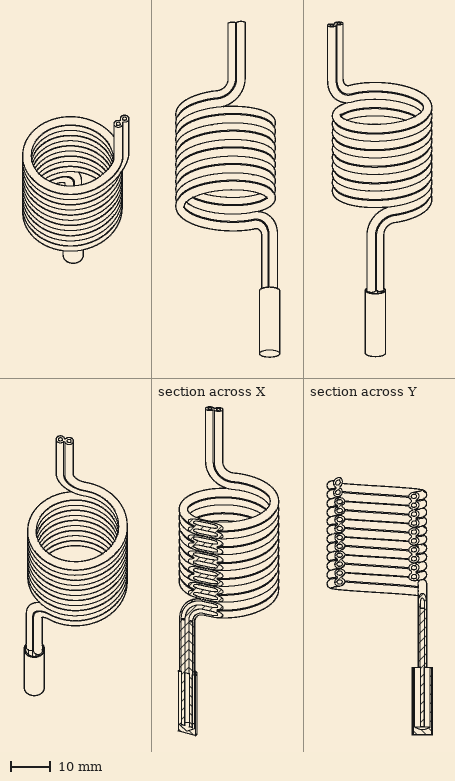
import cadquery as cq
import math

strand_dia = 2.2
strand_spacing = 2.25
web_thickness = 1.0
bore_dia = 1.0
cable_width = strand_spacing + strand_dia

coil_radius = 11.5
coil_pitch = 2 * strand_spacing
coil_turns = 5 + 5 / 9
coil_height = coil_pitch * coil_turns
coil_start_angle = 180
coil_end_angle = coil_start_angle + 360 * coil_turns

bend_radius = 5.0
leg_length = 15.0
lower_run = 0.5
upper_run = 1.0

sleeve_wall = 0.35
sleeve_length = 17.02
hole_dia = cable_width
hole_depth = 15.0
drill_point_angle = 118

wire_length = leg_length + hole_depth

cable_end = (-coil_radius, lower_run + bend_radius, -bend_radius - leg_length)


def make_section():
    """Face of the cable's cross-section in the XZ plane, with the strands one above the other."""
    strand_centers = [(0, -strand_spacing / 2), (0, strand_spacing / 2)]
    section = cq.Sketch().rect(web_thickness, strand_spacing)
    section = section.push(strand_centers).circle(strand_dia / 2)
    section = section.circle(bore_dia / 2, mode="s").reset().clean()
    upright = cq.Location((coil_radius, 0, 0), (1, 0, 0), 90)
    return section.faces().val().moved(upright)


def sweep_walls(section, path):
    """Outer wall and bore walls of the cable along a path, open at both ends."""
    rims = [section.outerWire(), *section.innerWires()]
    walls = [cq.Solid.sweep(rim, [], path, makeSolid=False, isFrenet=True) for rim in rims]
    return [face for wall in walls for face in wall.Faces()]


def coil_faces(section):
    """Walls of the helical part, which starts at Z = 0."""
    path = cq.Wire.makeHelix(coil_pitch, coil_height, coil_radius)
    start = cq.Location((0, 0, 0), (0, 0, 1), coil_start_angle)
    return [face.moved(start) for face in sweep_walls(section, path)]


def lead_faces(section, run, heading, angle, height):
    """Walls and end face of a lead: a straight run off the coil, a quarter bend and a vertical leg.

    Heading 1 follows the coil's direction and turns up; heading -1 runs against it and turns down."""
    path = (
        cq.Workplane("YZ", origin=(coil_radius, 0, 0))
        .lineTo(heading * run, 0)
        .tangentArcPoint((heading * bend_radius, heading * bend_radius))
        .line(0, heading * leg_length)
        .wire()
        .val()
    )
    quarter_turn = section.rotate((0, 0, 0), (1, 0, 0), 90)
    end_face = quarter_turn.translate(
        (0, heading * (run + bend_radius), heading * (bend_radius + leg_length))
    )
    place = cq.Location((0, 0, height), (0, 0, 1), angle)
    return [face.moved(place) for face in [*sweep_walls(section, path), end_face]]


def make_cable():
    """Coil with a lower and an upper lead, closed into one solid from its wall and end faces."""
    section = make_section()
    faces = [
        *lead_faces(section, lower_run, -1, coil_start_angle, 0),
        *coil_faces(section),
        *lead_faces(section, upper_run, 1, coil_end_angle, coil_height),
    ]
    return cq.Workplane(cq.Solid.makeSolid(cq.Shell.makeShell(faces)))


def make_wire(side):
    """Wire in one strand of the lower leg; side is -1 or 1 along Y."""
    top = cq.Workplane("XY", origin=cable_end).workplane(offset=leg_length)
    return top.center(0, side * strand_spacing / 2).circle(bore_dia / 2).extrude(-wire_length)


def make_sleeve():
    """Round sleeve with a blind hole that ends in a drill point."""
    hole_radius = hole_dia / 2
    point_height = hole_radius / math.tan(math.radians(drill_point_angle / 2))
    outer_radius = hole_radius + sleeve_wall
    profile = (
        cq.Workplane("XZ")
        .moveTo(hole_radius, 0)
        .lineTo(outer_radius, 0)
        .lineTo(outer_radius, -sleeve_length)
        .lineTo(0, -sleeve_length)
        .lineTo(0, -hole_depth - point_height)
        .lineTo(hole_radius, -hole_depth)
        .close()
    )
    return profile.revolve(360, (0, 0, 0), (0, 1, 0)).translate(cable_end)


cable = make_cable()
wires = [make_wire(side) for side in (-1, 1)]
sleeve = make_sleeve()

result = cq.Compound.makeCompound([cable.val(), *[wire.val() for wire in wires], sleeve.val()])